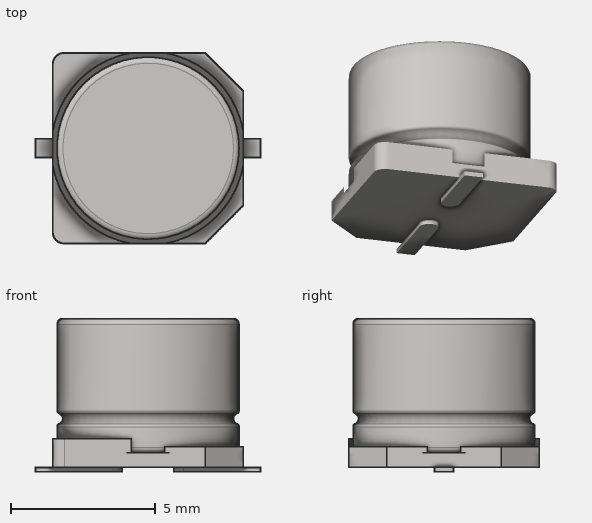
import cadquery as cq
import math

LENGTH = 7.8
HEIGHT = 5.3

LEAD_THICKNESS = 0.15
LEAD_WIDTH = 0.66
LEAD_GAP = 1.77

BASE_SIDE = 6.6
TALL_CORNER_HEIGHT = 1.0
LOW_CORNER_HEIGHT = 0.72
POCKET_FLOOR_HEIGHT = 0.5
POCKET_RADIUS = 3.35
CORNER_RADIUS = 0.4
CORNER_CHAMFER = 1.32

CAN_DIAMETER = 6.3
CAN_EDGE_RADIUS = 0.2

GROOVE_CENTER_Z = 1.84
GROOVE_RADIUS = 0.2
LIP_RADIUS = 0.1
LIP_SPACING = 0.56

BASE_HALF = BASE_SIDE / 2
BASE_BOTTOM = LEAD_THICKNESS
POCKET_FLOOR = BASE_BOTTOM + POCKET_FLOOR_HEIGHT
CAN_RADIUS = CAN_DIAMETER / 2


def make_base():
    """Square plate with two rounded and two chamfered corners, and a round pocket for the can."""
    plate = (
        cq.Workplane("XY", origin=(0, 0, BASE_BOTTOM))
        .rect(BASE_SIDE, BASE_SIDE)
        .extrude(TALL_CORNER_HEIGHT)
    )
    plate = plate.edges("|Z and <X").fillet(CORNER_RADIUS)
    plate = plate.edges("|Z and >X").chamfer(CORNER_CHAMFER)

    step = (
        cq.Workplane("XY", origin=(0, 0, BASE_BOTTOM + LOW_CORNER_HEIGHT))
        .center(BASE_HALF / 2, 0)
        .rect(BASE_HALF, BASE_SIDE)
        .extrude(TALL_CORNER_HEIGHT)
    )
    pocket = (
        cq.Workplane("XY", origin=(0, 0, POCKET_FLOOR))
        .circle(POCKET_RADIUS)
        .extrude(TALL_CORNER_HEIGHT)
    )
    return plate.cut(step).cut(pocket)


def make_can():
    """Upright can with rounded rims, standing on the pocket floor."""
    can = (
        cq.Workplane("XY", origin=(0, 0, POCKET_FLOOR))
        .circle(CAN_RADIUS)
        .extrude(HEIGHT - POCKET_FLOOR)
        .edges()
        .fillet(CAN_EDGE_RADIUS)
    )
    return can.cut(make_groove())


def make_groove():
    """Ring that rolls the groove into the can; each lip arc runs tangent into the groove arc."""
    lip_offset = LIP_SPACING / 2
    lip_center_r = CAN_RADIUS - LIP_RADIUS
    center_distance = GROOVE_RADIUS + LIP_RADIUS
    groove_center_r = lip_center_r + math.sqrt(center_distance**2 - lip_offset**2)

    lip_share = LIP_RADIUS / center_distance
    tangent_r = lip_center_r + (groove_center_r - lip_center_r) * lip_share
    tangent_z = lip_offset * (1 - lip_share)
    half_angle = math.asin(lip_offset / center_distance) / 2
    lip_mid_r = lip_center_r + LIP_RADIUS * math.cos(half_angle)
    lip_mid_z = lip_offset - LIP_RADIUS * math.sin(half_angle)

    outer_r = CAN_RADIUS + LIP_RADIUS
    profile = (
        cq.Workplane("XZ", origin=(0, 0, GROOVE_CENTER_Z))
        .moveTo(outer_r, -lip_offset)
        .lineTo(CAN_RADIUS, -lip_offset)
        .threePointArc((lip_mid_r, -lip_mid_z), (tangent_r, -tangent_z))
        .threePointArc((groove_center_r - GROOVE_RADIUS, 0), (tangent_r, tangent_z))
        .threePointArc((lip_mid_r, lip_mid_z), (CAN_RADIUS, lip_offset))
        .lineTo(outer_r, lip_offset)
        .close()
    )
    return profile.revolve(360, (0, 0, 0), (0, 1, 0))


def make_lead(side):
    """Flat lead under the base with a half-round inner end; side is -1 or +1 along X."""
    half_width = LEAD_WIDTH / 2
    outer_x = side * LENGTH / 2
    inner_x = side * LEAD_GAP / 2
    round_start_x = inner_x + side * half_width
    return (
        cq.Workplane("XY")
        .moveTo(outer_x, -half_width)
        .lineTo(round_start_x, -half_width)
        .threePointArc((inner_x, 0), (round_start_x, half_width))
        .lineTo(outer_x, half_width)
        .close()
        .extrude(LEAD_THICKNESS)
    )


result = make_base().union(make_can())
for lead_side in (-1, 1):
    result = result.union(make_lead(lead_side))